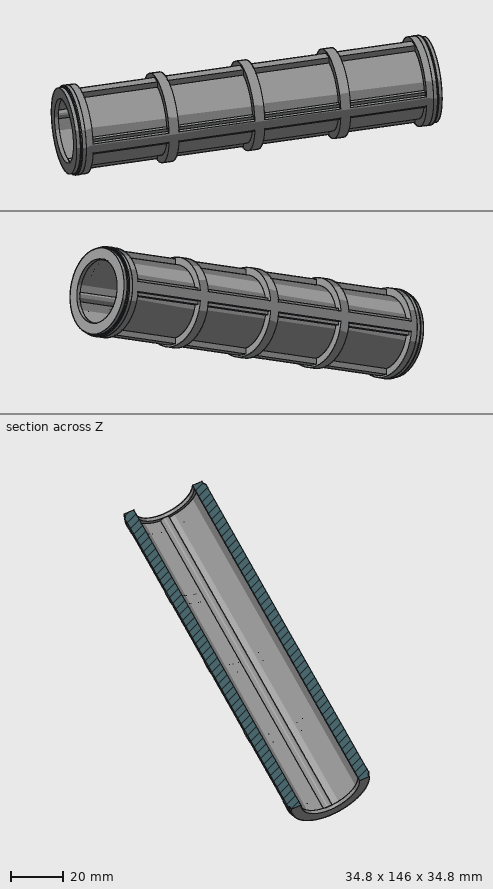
import cadquery as cq

length = 146.0
tube_radius = 28.8 / 2
bore_radius = 13.9

collar_length = 6.4
collar_radius = 34.6 / 2
raised_radius = 34.8 / 2
raised_start = 2.2
raised_end = 3.7
nose_radius = 16.6
nose_length = 1.5
shoulder_radius = 17.0
bevel_radius = 17.2
bevel_start = 1.8

lip_radius = 24.8 / 2
lip_length = 1.6
cavity_length = length - 2 * lip_length

hoop_count = 3
hoop_width = 4.0
gap_count = hoop_count + 1
gap_length = (length - 2 * collar_length - hoop_count * hoop_width) / gap_count
gap_pitch = gap_length + hoop_width

rib_width = 4.0
top_rib_height = 16.5
side_base_width = 6.4
side_base_reach = 15.6

inner_rib_count = 4
inner_rib_radius = tube_radius - lip_radius


def cylinder(radius, height):
    """Cylinder along Y, centred on the origin."""
    return cq.Workplane("XZ").circle(radius).extrude(height / 2, both=True)


def make_envelope():
    """Solid of revolution about Y with a collar at both ends and the hoop radius between them."""
    mouth = length / 2
    collar_steps = [
        (0, 0),
        (nose_radius, 0),
        (nose_radius, nose_length),
        (shoulder_radius, nose_length),
        (bevel_radius, bevel_start),
        (raised_radius, raised_start),
        (raised_radius, raised_end),
        (collar_radius, raised_end),
    ]
    near_end = [(radius, depth - mouth) for radius, depth in collar_steps]
    far_end = [(radius, mouth - depth) for radius, depth in reversed(collar_steps)]
    outline = cq.Workplane("XY").polyline(near_end + far_end).close()
    return outline.revolve(360, (0, 0, 0), (0, 1, 0))


def make_gap_recess():
    """Material removed in one gap: everything outside the tube and its four outer ribs."""
    outer = 2 * raised_radius
    top_and_bottom_ribs = cq.Workplane("XY").box(rib_width, gap_length, 2 * top_rib_height)
    side_rib_bases = cq.Workplane("XY").box(2 * side_base_reach, gap_length, side_base_width)
    side_rib_crests = cq.Workplane("XY").box(2 * outer, gap_length, rib_width)
    return (
        cylinder(outer, gap_length)
        .cut(cylinder(tube_radius, gap_length))
        .cut(top_and_bottom_ribs)
        .cut(side_rib_bases)
        .cut(side_rib_crests)
    )


def make_inner_ribs():
    """Round ribs along the bore wall, in line with the outer ribs."""
    return (
        cq.Workplane("XZ")
        .polarArray(tube_radius, 0, 360, inner_rib_count)
        .circle(inner_rib_radius)
        .extrude(cavity_length / 2, both=True)
    )


body = make_envelope()

gap_recess = make_gap_recess()
for index in range(gap_count):
    gap_centre = (index - (gap_count - 1) / 2) * gap_pitch
    body = body.cut(gap_recess.translate((0, gap_centre, 0)))

cavity = cylinder(bore_radius, cavity_length).cut(make_inner_ribs())
lip_opening = cylinder(lip_radius, length)
result = body.cut(cavity).cut(lip_opening)